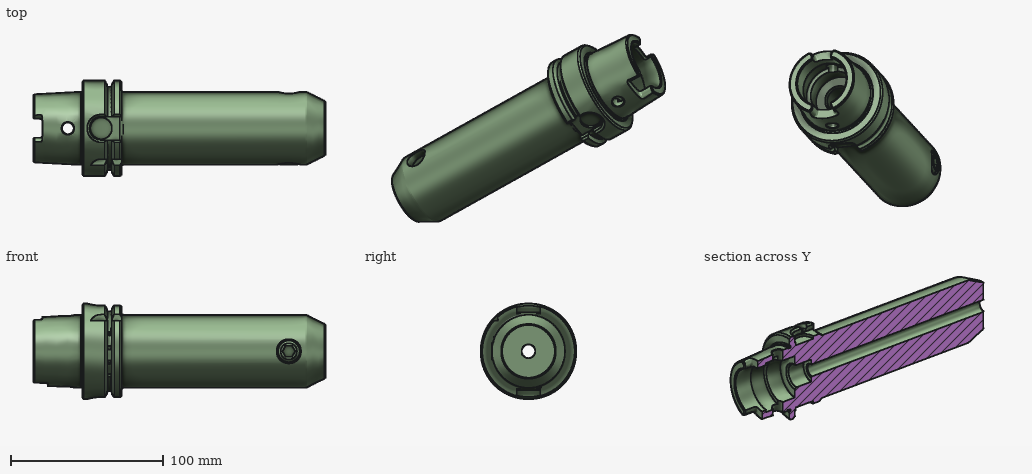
import cadquery as cq
import math

total_length = 192.0
taper_length = 32.0
flange_length = 26.0
flange_end = taper_length + flange_length

taper_front_radius = 22.5
taper_back_radius = 24.0
taper_end = 29.5
front_chamfer = 0.8
undercut_radius = 23.5
undercut_start = 31.1
face_recess_radius = 25.3
face_recess_floor_radius = 24.8
face_recess_depth = 1.0

flange_radius = 31.5
flange_chamfer = 1.2
groove_floor_radius = 27.5
groove_middle = 50.0
groove_floor_width = 3.0
groove_side_angle = 60.0
groove_fillet = 0.5
groove_wall_radius = 28.8

body_radius = 24.0
shoulder_fillet = 1.2
nose_length = 12.7
nose_end_radius = 18.0
nose_edge_fillet = 2.5
nose_end_chamfer = 0.8

mouth_radius = 17.7
bore_radius = 16.9
bore_end = 13.0
cavity_radius = 18.5
cavity_end = 25.0
seat_radius = 15.5
seat_end = 36.5
tube_hole_radius = 8.3
tube_hole_end = 50.0
tube_hole_chamfer = 1.2
coolant_radius = 4.5
coolant_chamfer = 0.5

cross_hole_x = 22.7
cross_hole_radius = 3.8
cross_hole_chamfer = 0.4

notch_half_width = 6.1
notch_flare_radius = 3.6
notch_flare_start = 17.3
upper_notch_depth = 6.0
lower_notch_depth = 9.6
notch_floor_fillet = 1.5
notch_edge_chamfer = 0.8

cutter_radius = 7.7
key_center_x = 44.5
key_floor_height = 25.7
key_chamfer = 1.5
key_end_chamfer = 1.2
dimple_radius = 7.1
dimple_depth = 2.0

corner_notch_offset = 20.2

balance_hole_radius = 1.3
balance_hole_depth = 2.9
balance_hole_pitch = 20.0
balance_hole_first_angle = -35.0
balance_hole_count = 4

screw_x = 167.8
screw_radius = 7.1
screw_hole_chamfer = 1.0
screw_top = body_radius
screw_bottom = 7.7
screw_chamfer = 1.7
socket_across_flats = 7.3
socket_depth = 5.8

relief_radius = 7.1
relief_depth = 5.8

box_margin = 0.1


def turned(points):
    """Revolve a closed (x, radius) outline around the X axis."""
    return cq.Workplane("XY").polyline(points).close().revolve(360, (0, 0, 0), (1, 0, 0))


def post(x, radius, bottom, top):
    """Vertical cylinder that stands over the axis at x."""
    return cq.Workplane("XY", origin=(x, 0, bottom)).circle(radius).extrude(top - bottom)


def box_selector(low, high):
    """Selector for the edges that lie wholly inside a box, widened slightly on every side."""
    return cq.selectors.BoxSelector(
        [value - box_margin for value in low],
        [value + box_margin for value in high],
        boundingbox=True,
    )


def ring_at(x, radius):
    """Selector for the circular edges up to a given radius at x."""
    return box_selector((x, -radius, -radius), (x, radius, radius))


def make_outer():
    """Turned outside of the holder, solid inside."""
    nose_start = total_length - nose_length
    outline = [
        (0, 0),
        (0, taper_front_radius - front_chamfer),
        (front_chamfer, taper_front_radius),
        (taper_end, taper_back_radius),
        (undercut_start, taper_back_radius),
        (undercut_start, undercut_radius),
        (taper_length + face_recess_depth, undercut_radius),
        (taper_length + face_recess_depth, face_recess_floor_radius),
        (taper_length, face_recess_radius),
        (taper_length, flange_radius - flange_chamfer),
        (taper_length + flange_chamfer, flange_radius),
        (flange_end - flange_chamfer, flange_radius),
        (flange_end, flange_radius - flange_chamfer),
        (flange_end, body_radius),
        (nose_start, body_radius),
        (total_length - nose_end_chamfer, nose_end_radius),
        (total_length, nose_end_radius - nose_end_chamfer),
        (total_length, 0),
    ]
    outer = turned(outline)
    outer = outer.edges(ring_at(flange_end, body_radius)).fillet(shoulder_fillet)
    return outer.edges(ring_at(nose_start, body_radius)).fillet(nose_edge_fillet)


def make_groove():
    """Ring that cuts the V groove, with rounded corners at its floor."""
    half_floor = groove_floor_width / 2
    half_top = half_floor + (flange_radius - groove_wall_radius) / math.tan(math.radians(groove_side_angle))
    groove = turned([
        (groove_middle - half_floor, groove_floor_radius),
        (groove_middle - half_floor, groove_wall_radius),
        (groove_middle - half_top, flange_radius),
        (groove_middle + half_top, flange_radius),
        (groove_middle + half_floor, groove_wall_radius),
        (groove_middle + half_floor, groove_floor_radius),
    ])
    floor_edges = box_selector(
        (groove_middle - half_floor, -groove_floor_radius, -groove_floor_radius),
        (groove_middle + half_floor, groove_floor_radius, groove_floor_radius),
    )
    return groove.edges(floor_edges).fillet(groove_fillet)


def make_bore():
    """Turned core that cuts the stepped bore right through the holder."""
    mouth_depth = mouth_radius - bore_radius
    return turned([
        (0, 0),
        (0, mouth_radius),
        (mouth_depth, bore_radius),
        (bore_end, bore_radius),
        (bore_end, cavity_radius),
        (cavity_end, cavity_radius),
        (cavity_end, seat_radius),
        (seat_end, seat_radius),
        (seat_end, tube_hole_radius + tube_hole_chamfer),
        (seat_end + tube_hole_chamfer, tube_hole_radius),
        (tube_hole_end, tube_hole_radius),
        (tube_hole_end, coolant_radius + coolant_chamfer),
        (tube_hole_end + coolant_chamfer, coolant_radius),
        (total_length, coolant_radius),
        (total_length, 0),
    ])


def cut_cross_hole(holder):
    """Drill upright through both taper walls and chamfer both mouths."""
    holder = holder.cut(post(cross_hole_x, cross_hole_radius, -flange_radius, flange_radius))
    for low, high in ((cavity_radius, taper_back_radius), (-taper_back_radius, -cavity_radius)):
        mouth = box_selector(
            (cross_hole_x - cross_hole_radius, -cross_hole_radius, low),
            (cross_hole_x + cross_hole_radius, cross_hole_radius, high),
        )
        holder = holder.edges(mouth).chamfer(cross_hole_chamfer)
    return holder


def notch_outline(widening):
    """Upright notch outline whose sides flare outwards near the rim, widened on each side."""
    half_width = notch_half_width + widening
    flare_radius = notch_flare_radius - widening
    flare_half_width = half_width + flare_radius
    flare_top = notch_flare_start + flare_radius
    bend = flare_radius * math.sqrt(0.5)
    bend_y = flare_half_width - bend
    bend_z = notch_flare_start + bend
    return (
        cq.Workplane("YZ")
        .moveTo(-half_width, 0)
        .lineTo(-half_width, notch_flare_start)
        .threePointArc((-bend_y, bend_z), (-flare_half_width, flare_top))
        .lineTo(-flange_radius, flare_top)
        .lineTo(-flange_radius, flange_radius)
        .lineTo(flange_radius, flange_radius)
        .lineTo(flange_radius, flare_top)
        .lineTo(flare_half_width, flare_top)
        .threePointArc((bend_y, bend_z), (half_width, notch_flare_start))
        .lineTo(half_width, 0)
        .close()
    )


def make_drive_notch(depth):
    """Upward notch in the front rim, rounded at its floor and chamfered at the front face."""
    notch = notch_outline(0).extrude(depth)
    notch = notch.edges(">X").edges("not(<Z or >Z or <Y or >Y)").fillet(notch_floor_fillet)
    lead = notch_outline(notch_edge_chamfer).extrude(notch_edge_chamfer, taper=45)
    return notch.union(lead)


def make_keyway_slot():
    """Round-ended keyway over the axis, open towards the back of the flange."""
    side_length = flange_end - key_center_x
    return (
        cq.Workplane("XY", origin=(key_center_x, 0, key_floor_height))
        .moveTo(side_length, cutter_radius)
        .lineTo(0, cutter_radius)
        .threePointArc((-cutter_radius, 0), (0, -cutter_radius))
        .lineTo(side_length, -cutter_radius)
        .close()
        .extrude(flange_radius)
    )


def cut_keyway(holder):
    """Cut a keyway on the +Z side, chamfer its rim and sink a dimple in its floor."""
    holder = holder.cut(make_keyway_slot())
    rim_bottom = math.sqrt(flange_radius ** 2 - cutter_radius ** 2)
    rim = box_selector(
        (key_center_x - cutter_radius, -cutter_radius, rim_bottom),
        (flange_end - flange_chamfer, cutter_radius, flange_radius),
    )
    holder = holder.edges(rim).chamfer(key_chamfer)
    floor_end = box_selector(
        (flange_end, -cutter_radius, key_floor_height),
        (flange_end, cutter_radius, key_floor_height),
    )
    holder = holder.edges(floor_end).chamfer(key_end_chamfer)
    return holder.cut(post(key_center_x, dimple_radius, key_floor_height - dimple_depth, flange_radius))


def make_corner_notch():
    """Square-cornered notch in the -Y, +Z edge of the flange, open at the back."""
    side = flange_radius - corner_notch_offset
    length = flange_end - key_center_x
    return (
        cq.Workplane("XY", origin=(key_center_x, -corner_notch_offset, corner_notch_offset))
        .moveTo(length, 0)
        .lineTo(0, 0)
        .threePointArc((-cutter_radius, -cutter_radius), (0, -2 * cutter_radius))
        .lineTo(length, -2 * cutter_radius)
        .close()
        .extrude(side)
    )


def make_balance_hole(angle):
    """Radial hole in the groove floor, turned by angle from -Y towards +Z."""
    hole = post(groove_middle, balance_hole_radius, groove_floor_radius - balance_hole_depth, flange_radius)
    return hole.rotate((0, 0, 0), (1, 0, 0), 90 - angle)


def cut_screw_hole(holder):
    """Cut the screw hole on the -Y side and chamfer its mouth."""
    hole = post(screw_x, screw_radius, screw_bottom, flange_radius).rotate((0, 0, 0), (1, 0, 0), 90)
    holder = holder.cut(hole)
    mouth_start = math.sqrt(body_radius ** 2 - screw_radius ** 2)
    mouth = box_selector(
        (screw_x - screw_radius, -body_radius, -screw_radius),
        (screw_x + screw_radius, -mouth_start, screw_radius),
    )
    return holder.edges(mouth).chamfer(screw_hole_chamfer)


def make_holder():
    holder = cut_screw_hole(make_outer())
    for _ in range(2):
        holder = cut_keyway(holder).rotate((0, 0, 0), (1, 0, 0), 180)
    holder = holder.cut(make_groove()).cut(make_bore()).cut(make_corner_notch())
    holder = cut_cross_hole(holder)

    holder = holder.cut(make_drive_notch(upper_notch_depth))
    holder = holder.cut(make_drive_notch(lower_notch_depth).rotate((0, 0, 0), (1, 0, 0), 180))

    for index in range(balance_hole_count):
        angle = balance_hole_first_angle + index * balance_hole_pitch
        holder = holder.cut(make_balance_hole(angle))

    relief = post(screw_x, relief_radius, body_radius - relief_depth, flange_radius)
    return holder.cut(relief.rotate((0, 0, 0), (1, 0, 0), -90))


def make_screw():
    """Set screw with a hexagon socket, standing in its hole."""
    screw = post(screw_x, screw_radius, screw_bottom, screw_top).faces(">Z").chamfer(screw_chamfer)
    corner_diameter = socket_across_flats / math.cos(math.radians(30))
    socket = (
        cq.Workplane("XY", origin=(screw_x, 0, screw_top - socket_depth))
        .polygon(6, corner_diameter)
        .extrude(socket_depth)
    )
    return screw.cut(socket).rotate((0, 0, 0), (1, 0, 0), 90)


holder = make_holder()
screw = make_screw()
result = cq.Compound.makeCompound([holder.solids().val(), screw.solids().val()])